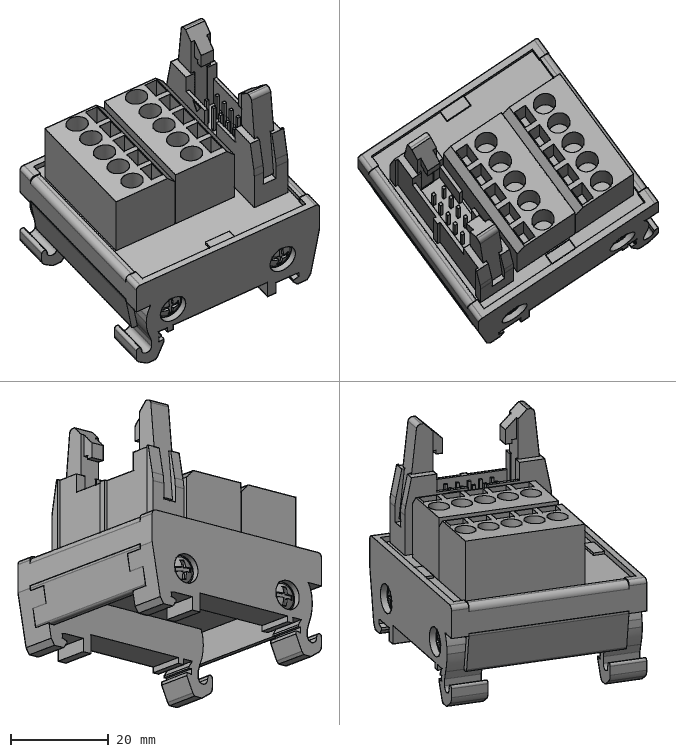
import cadquery as cq


WIDTH = 43.0
DEPTH = 45.0
HEIGHT = 49.25
HALF_W = WIDTH / 2
HALF_D = DEPTH / 2
CAP_LENGTH = 3.9
FOOT_LENGTH = 8.1
FOOT_TOP = 15.25
MID_HALF = HALF_W - CAP_LENGTH
CAP_TOP = 22.8
CAP_ROUND = 1
BOARD_TOP = 21.65
SEAT = BOARD_TOP - 0.5
BOARD_SIZE = 40.1
MID_TOP = 22.6
MID_ROUND = 1.5
MID_OPENING = 40.4
SKIRT_Z = 15.75
BODY_BOTTOM = 7.4
FLOOR_BOTTOM = 14.8
STEP = 0.1
STEP_HEIGHT = 0.55
WALL_LEAN = 1.4
WALL = 1.4
WALL_ROUND = 0.6
TAB_LENGTH = 2.45
TAB_DEPTH = 5.9
TAB_TOP = 22.15

SCREW_Y = 13.45
SCREW_Z = 11.9
RECESS_R = 3.1
RECESS_DEPTH = 1.5
HEAD_R = 2.8
DOME_HEIGHT = 0.9
HEAD_ROOT = 0.5
CROSS_LENGTH = 4.05
CROSS_WIDTH = 0.95
CROSS_DEPTH = 0.75
CROSS_TURN = -8

POLES = 5
POLE_PITCH = 5.07
BLOCK_LEFT = -17.15
BLOCK_WIDTH = 26.3
BLOCK_DEPTH = 14.45
BLOCK_PITCH = 14.6
BLOCK_BACK = 9.75
BLOCK_TOP = 35.35
BLOCK_CHAMFER = 1.8
FIRST_POLE = 2.5
WINDOW = (3.95, 2.7)
WINDOW_OFFSET = 3.4
ENTRY = (4.25, 4.7)
ENTRY_OFFSET = 8.2
OPENING_DEPTH = 7.4

HEADER_X = -2.05
HEADER_Y = 15.18
HEADER_HALF_W = 16.15
HEADER_HALF_D = 3.8
HEADER_TOP = 34.5
TOWER_TOP = 38.45
TOWER_INNER = 9.1
FLANGE = 0.65
FLANGE_LENGTH = 1.85
KEY_WIDTH = 1.5
CAVITY_HALF_D = 3.0
CAVITY_FLOOR = 27.6
NOTCH_WIDTH = 4.3
PIN = 0.65
PIN_PITCH = 2.55
PIN_TOP = 33.9
LATCH_HALF = 2.35
ARM_HALF = 1.55
ARM_BOTTOM = 27.75
SLOT_BOTTOM = 27.05
LEVER_BOTTOM = 38.6
LATCH_INNER = 9.35
ARM_HEEL = -12.3
MARK_TOP = 34
MARK_WIDTH = 2.75
MARK_HEIGHT = 2.05
MARK_DEPTH = 0.1


def block(x0, x1, y0, y1, z0, z1):
    """Box between the given limits."""
    return cq.Workplane("XY").box(x1 - x0, y1 - y0, z1 - z0, centered=False).translate((x0, y0, z0))


def along_x(outline, x0, x1):
    """Extrude a closed Y-Z outline between two X positions."""
    return outline.extrude(x1 - x0).translate((x0, 0, 0))


def along_y(points, half_depth):
    """Extrude an X-Z polygon by the same amount to both sides of Y = 0."""
    return cq.Workplane("XZ").polyline(points).close().extrude(half_depth, both=True)


def mirrored(shape):
    """The shape together with its mirror image across X = 0."""
    return shape.union(shape.mirror("YZ"))


def cap_outline():
    """Y-Z outline of an end cap with its fixed jaw (+Y) and sprung rail hook (-Y)."""
    outline = cq.Workplane("YZ").moveTo(-HALF_D, SKIRT_Z).lineTo(-HALF_D, CAP_TOP).lineTo(HALF_D, CAP_TOP)
    outline = outline.lineTo(HALF_D, SKIRT_Z)
    for point in [(20.35, 4.4), (19.45, 3.05), (17.05, 3.05), (16.1, 4.1), (16.1, 4.65), (17.4, 5.07),
                  (17.4, 6.0), (16.75, 6.15), (11.82, 6.15), (11.82, 3.3), (9.75, 3.3), (9.75, BODY_BOTTOM)]:
        outline = outline.lineTo(*point)
    for point in [(-13.4, BODY_BOTTOM), (-13.4, 6.15), (-14.85, 6.15), (-14.85, BODY_BOTTOM)]:
        outline = outline.lineTo(*point)
    for point in [(-17.1, BODY_BOTTOM), (-16.3, 6.1), (-16.3, 5.7), (-16.95, 5.7), (-16.95, 4.55),
                  (-15.65, 4.7), (-15.65, 4.0), (-17.25, 0.6), (-17.75, 0), (-19.75, 0), (-21.75, 1.35)]:
        outline = outline.lineTo(*point)
    outline = outline.threePointArc((-22.25, 1.95), (-HALF_D, 2.85)).lineTo(-HALF_D, 4.85)
    outline = outline.threePointArc((-22.0, 5.35), (-21.4, 5.1)).lineTo(-21.15, 4.4)
    outline = outline.threePointArc((-19.9, 3.05), (-18.7, 4.15)).lineTo(-18.7, 5.6).lineTo(-19.25, BODY_BOTTOM)
    outline = outline.threePointArc((-19.85, 9.45), (-20.05, 11.5)).lineTo(-19.9, 13.15)
    return outline.threePointArc((-19.55, 14.5), (-18.95, SKIRT_Z)).close()


def end_cap():
    """Left end cap; its feet reach further inward than the cap itself."""
    cap = along_x(cap_outline(), -HALF_W, -MID_HALF)
    cap = cap.edges("|X and >Z").fillet(CAP_ROUND)
    feet = along_x(cap_outline(), -HALF_W, -HALF_W + FOOT_LENGTH)
    return cap.union(feet.intersect(block(-HALF_W, 0, -HALF_D, HALF_D, 0, FOOT_TOP)))


def mid_section():
    """Carrier between the caps: a thick floor and two leaning side walls."""
    top_y = HALF_D - STEP
    foot_y = top_y - WALL_LEAN
    inner_y = foot_y - WALL
    floor_y = inner_y + WALL_LEAN * (FLOOR_BOTTOM - BODY_BOTTOM) / (SKIRT_Z - BODY_BOTTOM)
    back = [(HALF_D, MID_TOP), (HALF_D, SKIRT_Z + STEP_HEIGHT), (top_y, SKIRT_Z + STEP_HEIGHT),
            (top_y, SKIRT_Z), (foot_y, BODY_BOTTOM), (inner_y, BODY_BOTTOM), (floor_y, FLOOR_BOTTOM)]
    front = [(-y, z) for y, z in reversed(back)]
    body = along_x(cq.Workplane("YZ").polyline(back + front).close(), -MID_HALF, MID_HALF)
    body = body.edges("|X and >Z").fillet(MID_ROUND)
    for side in (-1, 1):
        corner = cq.selectors.NearestToPointSelector((0, side * foot_y, BODY_BOTTOM))
        body = body.edges(corner).fillet(WALL_ROUND)
    return body


def carrier():
    """Mid section and both end caps, opened above the board, with the board tabs."""
    half = BOARD_SIZE / 2
    body = mid_section().union(mirrored(end_cap()))
    body = body.cut(block(-half, half, -half, half, BOARD_TOP, HEIGHT))
    body = body.cut(block(-MID_HALF, MID_HALF, -MID_OPENING / 2, MID_OPENING / 2, BOARD_TOP, HEIGHT))
    tab = block(-half, -half + TAB_LENGTH, -TAB_DEPTH / 2, TAB_DEPTH / 2, SEAT, TAB_TOP)
    return body.union(mirrored(tab))


def screw_recess():
    """Round recess, centred on the X axis and opening towards -X at X = 0."""
    return cq.Workplane("YZ").circle(RECESS_R).extrude(RECESS_DEPTH)


def screw_head(turn):
    """Domed head with a cross slot, standing on the floor of the recess."""
    ball_r = (HEAD_R ** 2 + DOME_HEIGHT ** 2) / (2 * DOME_HEIGHT)
    dome_top = RECESS_DEPTH - DOME_HEIGHT
    head = cq.Workplane("YZ").circle(HEAD_R).extrude(RECESS_DEPTH + HEAD_ROOT)
    head = head.intersect(cq.Workplane("XY").sphere(ball_r).translate((dome_top + ball_r, 0, 0)))
    cross = cq.Workplane("YZ").rect(CROSS_LENGTH, CROSS_WIDTH).extrude(dome_top + CROSS_DEPTH)
    cross = cross.union(cq.Workplane("YZ").rect(CROSS_WIDTH, CROSS_LENGTH).extrude(dome_top + CROSS_DEPTH))
    return head.cut(cross.rotate((0, 0, 0), (1, 0, 0), turn))


def add_screws(body):
    """Fit two recessed screws to each end cap."""
    for y, turn in [(-SCREW_Y, 0), (SCREW_Y, CROSS_TURN)]:
        place = (-HALF_W, y, SCREW_Z)
        recess = screw_recess().translate(place)
        head = screw_head(turn).translate(place)
        body = body.cut(recess).cut(recess.mirror("YZ"))
        body = body.union(head).union(head.mirror("YZ"))
    return body


def terminal_block(back):
    """Terminal block whose back face lies at the given Y."""
    body = block(BLOCK_LEFT, BLOCK_LEFT + BLOCK_WIDTH, back - BLOCK_DEPTH, back, SEAT, BLOCK_TOP)
    body = body.edges(">Y and >Z").chamfer(BLOCK_CHAMFER)
    poles = [BLOCK_LEFT + FIRST_POLE + i * POLE_PITCH for i in range(POLES)]
    windows = cq.Workplane("XY", origin=(0, 0, BLOCK_TOP))
    windows = windows.pushPoints([(x, back - WINDOW_OFFSET) for x in poles]).rect(*WINDOW)
    entries = cq.Workplane("XY", origin=(0, 0, BLOCK_TOP))
    entries = entries.pushPoints([(x, back - ENTRY_OFFSET) for x in poles])
    entries = entries.ellipse(ENTRY[0] / 2, ENTRY[1] / 2)
    return body.cut(windows.extrude(-OPENING_DEPTH)).cut(entries.extrude(-OPENING_DEPTH))


def tower():
    """Left tower: sides narrowing upward, with a slot for the latch."""
    outline = cq.Workplane("XZ").moveTo(-TOWER_INNER, SEAT).lineTo(-HEADER_HALF_W, SEAT)
    outline = outline.lineTo(-HEADER_HALF_W, 30.4).threePointArc((-16.1, 31.35), (-15.95, 32.25))
    outline = outline.lineTo(-14.7, TOWER_TOP).lineTo(-TOWER_INNER, TOWER_TOP).close()
    body = outline.extrude(HEADER_HALF_D + FLANGE, both=True)
    inner_x = -HEADER_HALF_W + FLANGE_LENGTH
    core = block(-HEADER_HALF_W, -TOWER_INNER, -HEADER_HALF_D, HEADER_HALF_D, SEAT, TOWER_TOP)
    flange = block(-HEADER_HALF_W, inner_x, 0, HEADER_HALF_D + FLANGE, SEAT, TOWER_TOP)
    body = body.intersect(core.union(flange))
    slot = block(-HEADER_HALF_W, 0, -ARM_HALF, ARM_HALF, SLOT_BOTTOM, HEIGHT)
    return body.cut(slot)


def latch():
    """Left latch lever: leaning outer face, pointed top and an inward hook."""
    lever_foot = (-14.1, LEVER_BOTTOM)
    shoulder = (-13.0, 48.5)
    ridge = (-11.4, HEIGHT)
    hook_tip = (-6.9, 45.1)
    hook_bottom = 41.9
    lean = (shoulder[0] - lever_foot[0]) / (shoulder[1] - lever_foot[1])
    arm_foot = lever_foot[0] - lean * (LEVER_BOTTOM - ARM_BOTTOM)
    slope = (hook_tip[1] - ridge[1]) / (hook_tip[0] - ridge[0])
    inner_top = (-LATCH_INNER, ridge[1] + slope * (-LATCH_INNER - ridge[0]))

    lever = cq.Workplane("XZ").moveTo(*lever_foot).lineTo(*shoulder)
    lever = lever.threePointArc((-12.55, 49.05), (-11.9, HEIGHT)).lineTo(*ridge).lineTo(*inner_top)
    lever = lever.lineTo(-LATCH_INNER, LEVER_BOTTOM).close().extrude(LATCH_HALF, both=True)
    arm = along_y([(arm_foot, ARM_BOTTOM), lever_foot, (-LATCH_INNER, LEVER_BOTTOM),
                   (-LATCH_INNER, SLOT_BOTTOM), (ARM_HEEL, SLOT_BOTTOM), (ARM_HEEL, ARM_BOTTOM)], ARM_HALF)
    hook = along_y([inner_top, hook_tip, (hook_tip[0], hook_bottom), (-8.35, hook_bottom),
                    (-8.35, 42.7), (-LATCH_INNER, 42.7)], ARM_HALF)
    return lever.union(arm).union(hook)


def pin_one_mark():
    """Shallow triangle, pointing down, cut into the front wall."""
    x = -PIN_PITCH * (POLES - 1) / 2
    triangle = [(x - MARK_WIDTH / 2, MARK_TOP), (x + MARK_WIDTH / 2, MARK_TOP), (x, MARK_TOP - MARK_HEIGHT)]
    return along_y(triangle, MARK_DEPTH).translate((0, -HEADER_HALF_D, 0))


def pin_header():
    """Open-topped header with a keyed shell, its pins and both latch towers."""
    body = block(-TOWER_INNER, TOWER_INNER, -HEADER_HALF_D, HEADER_HALF_D, SEAT, HEADER_TOP)
    key = block(-KEY_WIDTH / 2, KEY_WIDTH / 2, 0, HEADER_HALF_D + FLANGE, SEAT, HEADER_TOP)
    body = body.union(key)
    body = body.cut(block(-TOWER_INNER, TOWER_INNER, -CAVITY_HALF_D, CAVITY_HALF_D, CAVITY_FLOOR, HEIGHT))
    body = body.cut(block(-NOTCH_WIDTH / 2, NOTCH_WIDTH / 2, -HEADER_HALF_D, 0, CAVITY_FLOOR, HEIGHT))
    pins = cq.Workplane("XY", origin=(0, 0, SEAT)).rarray(PIN_PITCH, PIN_PITCH, POLES, 2).rect(PIN, PIN)
    body = body.union(pins.extrude(PIN_TOP - SEAT))
    body = body.cut(pin_one_mark())
    return body.union(mirrored(tower().union(latch())))


module = add_screws(carrier())
for row in range(2):
    module = module.union(terminal_block(BLOCK_BACK - row * BLOCK_PITCH))
result = module.union(pin_header().translate((HEADER_X, HEADER_Y, 0)))